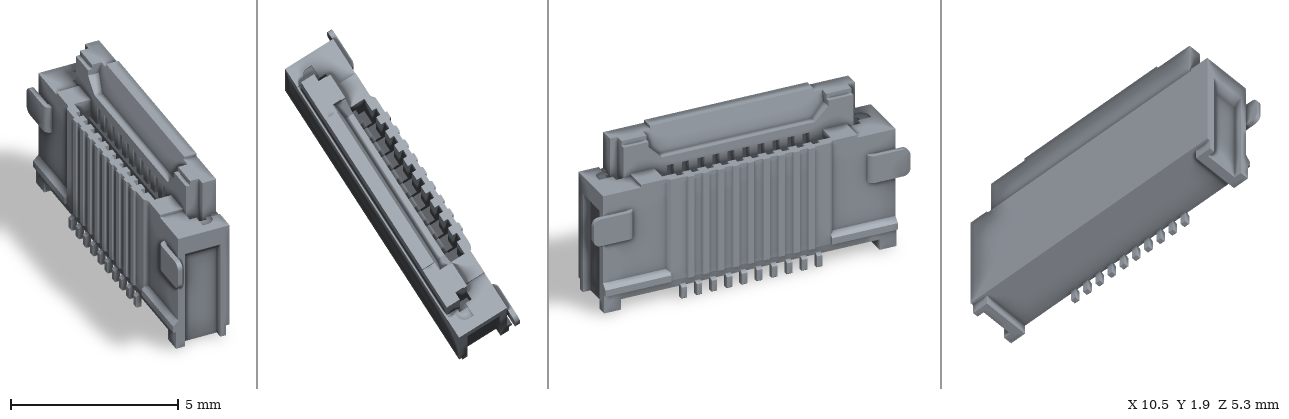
import cadquery as cq


LENGTH = 10.5
DEPTH = 1.9
HEIGHT = 5.3

CONTACT_COUNT = 10
CONTACT_SPAN = 4.49
PITCH = CONTACT_SPAN / (CONTACT_COUNT - 1)
LEAD_WIDTH = 0.18

BODY_HALF = 4.85
BODY_FRONT = 0.2
BODY_BOTTOM = 0.4
BODY_TOP = 4.01
RAISED_HALF = 3.59
RAISED_TOP = 4.11
BASE_FRONT = 0.13
BASE_TOP = 0.65

FOOT_BOTTOM = 0.04
FOOT_WIDTH = 0.57
FOOT_BACK = 1.78

LEDGE_FRONT = 0.03
LEDGE_TOP = 0.87
LEDGE_SLOPE = BODY_FRONT - LEDGE_FRONT
LEDGE_INNER_HALF = 2.67

PANEL_HALF = 2.65
PANEL_FRONT = 0.09
PANEL_FLANK = 0.13
RIB_FRONT = LEDGE_FRONT
RIB_CREST = 0.2
RIB_SLOPE = 0.03

POCKET_FRONT = 0.43
POCKET_BACK = 1.6
POCKET_TOP = 3.4
POCKET_DEPTH = 0.25

PLUG_HALF = 4.06
PLUG_NECK_HALF = 3.81
PLUG_FRONT = 0.96
PLUG_SHOULDER = 1.38
PLUG_BACK = 1.84
PLUG_TOP = 5.21
PLUG_STEP_BACK = 1.09
PLUG_STEP_BOTTOM = 5.05
LIP_HALF = 2.71

RECESS_HALF = 2.98
RECESS_BOTTOM = 4.42
RECESS_BACK_TOP = 1.43
RECESS_BACK_BOTTOM = 1.21
RECESS_CHAMFER = 0.44

GAP_HALF = 4.19
GAP_FRONT = 1.18
GAP_DEPTH = 0.07
CORNER_GAP_DEPTH = 0.84
CRESCENT_HALF = 4.52
CRESCENT_BACK = 1.6
CRESCENT_STRAIGHT = 0.16
RAMP_BACK = 1.47
RAMP_DEPTH = 0.21
SHOULDER_HALF = 4.13
SHOULDER_FRONT = 1.64
SHOULDER_DROP = 0.03

CAVITY_HALF = 2.79
CAVITY_FRONT = 0.4
CAVITY_FLOOR = 2.1
TIP_LEDGE_FRONT = 0.7
TIP_LEDGE_TOP = 3.15
BACK_LEDGE_FRONT = 0.87
BACK_LEDGE_TOP = 3.46
SLOT_WIDTH = 0.23
SLOT_FRONT = 0.25
SLOT_FLOOR = 1.68
PLUG_SLOT_DEPTH = 0.25
TIP_WIDTH = 0.17
TIP_BACK = 0.85
TIP_HEIGHT = 0.26

LEAD_BACK = 0.19
LEAD_SHOULDER = 0.39
LEAD_TOP = 0.46
LEAD_TIP_CHAMFER = 0.03

TAB_BOTTOM = 2.45
TAB_TOP = 3.36
TAB_THICKNESS = 0.16
TAB_INNER = 3.9
TAB_BEND = 0.2
TAB_CORNER = 0.22

contact_xs = [(i - (CONTACT_COUNT - 1) / 2) * PITCH for i in range(CONTACT_COUNT)]
rib_xs = [x + PITCH / 2 for x in contact_xs[:-1]]


def block(x0, x1, y0, y1, z0, z1):
    """Axis-aligned box between two corners."""
    return cq.Workplane("XY").box(x1 - x0, y1 - y0, z1 - z0, centered=False).translate((x0, y0, z0))


def extrude_x(points, x0, x1):
    """Prism along X from a (y, z) outline."""
    return cq.Workplane("YZ").polyline(points).close().extrude(x1 - x0).translate((x0, 0, 0))


def extrude_z(points, z0, z1):
    """Prism along Z from an (x, y) outline."""
    return cq.Workplane("XY").polyline(points).close().extrude(z1 - z0).translate((0, 0, z0))


def both_sides(solid):
    """The solid together with its mirror image across X = 0."""
    return solid.union(solid.mirror("YZ"))


def make_housing():
    body = block(-BODY_HALF, BODY_HALF, BODY_FRONT, DEPTH, BODY_BOTTOM, BODY_TOP)
    base = block(-BODY_HALF, BODY_HALF, BASE_FRONT, BODY_FRONT, BODY_BOTTOM, BASE_TOP)
    raised = block(-RAISED_HALF, RAISED_HALF, BODY_FRONT, PLUG_FRONT, BODY_TOP, RAISED_TOP)
    foot = block(BODY_HALF - FOOT_WIDTH, BODY_HALF, BASE_FRONT, FOOT_BACK, FOOT_BOTTOM, BODY_BOTTOM)
    ledge = extrude_x(
        [
            (BODY_FRONT, BASE_TOP),
            (LEDGE_FRONT, BASE_TOP),
            (LEDGE_FRONT, LEDGE_TOP),
            (BODY_FRONT, LEDGE_TOP + LEDGE_SLOPE),
        ],
        LEDGE_INNER_HALF,
        BODY_HALF,
    )
    return body.union(base).union(raised).union(both_sides(foot)).union(both_sides(ledge))


def make_ribbed_panel():
    panel = extrude_z(
        [
            (-PANEL_HALF - PANEL_FLANK, BODY_FRONT),
            (-PANEL_HALF, PANEL_FRONT),
            (PANEL_HALF, PANEL_FRONT),
            (PANEL_HALF + PANEL_FLANK, BODY_FRONT),
        ],
        BASE_TOP,
        RAISED_TOP,
    )
    crest_half = RIB_CREST / 2
    root_half = crest_half + RIB_SLOPE
    for x in rib_xs:
        rib = extrude_z(
            [
                (x - root_half, PANEL_FRONT),
                (x - crest_half, RIB_FRONT),
                (x + crest_half, RIB_FRONT),
                (x + root_half, PANEL_FRONT),
            ],
            BASE_TOP,
            RAISED_TOP,
        )
        panel = panel.union(rib)
    return panel


def make_side_pocket():
    """Pocket in the +X end, open at the bottom, with a 45 degree ceiling."""
    floor_x = BODY_HALF - POCKET_DEPTH
    outline = [
        (floor_x, 0),
        (BODY_HALF, 0),
        (BODY_HALF, POCKET_TOP),
        (floor_x, POCKET_TOP - POCKET_DEPTH),
    ]
    pocket = cq.Workplane("XZ").polyline(outline).close().extrude(POCKET_FRONT - POCKET_BACK)
    return pocket.translate((0, POCKET_FRONT, 0))


def make_plug_clearance():
    """Shallow gap behind and beside the plug, crescents, ramps and deep front corner gaps."""
    floor = BODY_TOP - GAP_DEPTH
    gap = block(-GAP_HALF, GAP_HALF, GAP_FRONT, DEPTH, floor, BODY_TOP)
    crescent = (
        cq.Workplane("XY")
        .workplane(offset=floor)
        .moveTo(GAP_HALF, GAP_FRONT)
        .lineTo(CRESCENT_HALF, GAP_FRONT)
        .lineTo(CRESCENT_HALF, GAP_FRONT + CRESCENT_STRAIGHT)
        .tangentArcPoint((GAP_HALF, CRESCENT_BACK), relative=False)
        .close()
        .extrude(GAP_DEPTH)
    )
    corner = block(
        PLUG_NECK_HALF, PLUG_HALF, PLUG_FRONT, PLUG_SHOULDER, BODY_TOP - CORNER_GAP_DEPTH, BODY_TOP
    )
    ramp = extrude_x(
        [
            (GAP_FRONT, floor),
            (RAMP_BACK, floor - RAMP_DEPTH),
            (RAMP_BACK, BODY_TOP),
            (GAP_FRONT, BODY_TOP),
        ],
        PLUG_HALF,
        GAP_HALF,
    )
    return gap.union(both_sides(crescent.union(corner).union(ramp)))


def make_plug():
    bottom = BODY_TOP - CORNER_GAP_DEPTH
    plug = block(-PLUG_HALF, PLUG_HALF, PLUG_SHOULDER, PLUG_BACK, bottom, PLUG_TOP)
    plug = plug.union(block(-PLUG_NECK_HALF, PLUG_NECK_HALF, PLUG_FRONT, PLUG_SHOULDER, bottom, PLUG_TOP))
    shoulder_top = BODY_TOP - SHOULDER_DROP
    plug = plug.union(
        block(-SHOULDER_HALF, SHOULDER_HALF, SHOULDER_FRONT, PLUG_BACK, bottom, shoulder_top)
    )
    plug = plug.union(block(-LIP_HALF, LIP_HALF, PLUG_SHOULDER, PLUG_BACK, PLUG_TOP, HEIGHT))
    plug = plug.cut(
        block(-PLUG_NECK_HALF, PLUG_NECK_HALF, PLUG_FRONT, PLUG_STEP_BACK, PLUG_STEP_BOTTOM, PLUG_TOP)
    )

    recess_profile = extrude_x(
        [
            (PLUG_FRONT, RECESS_BOTTOM),
            (RECESS_BACK_BOTTOM, RECESS_BOTTOM),
            (RECESS_BACK_TOP, HEIGHT),
            (PLUG_FRONT, HEIGHT),
        ],
        -RECESS_HALF,
        RECESS_HALF,
    )
    floor_half = RECESS_HALF - RECESS_CHAMFER
    recess_front = (
        cq.Workplane("XZ")
        .polyline(
            [
                (-floor_half, RECESS_BOTTOM),
                (floor_half, RECESS_BOTTOM),
                (RECESS_HALF, RECESS_BOTTOM + RECESS_CHAMFER),
                (RECESS_HALF, HEIGHT),
                (-RECESS_HALF, HEIGHT),
                (-RECESS_HALF, RECESS_BOTTOM + RECESS_CHAMFER),
            ]
        )
        .close()
        .extrude(-DEPTH)
    )
    return plug.cut(recess_profile.intersect(recess_front))


def make_cavity():
    """Stepped cavity in front of the plug, with a slot for every contact."""
    cavity = extrude_x(
        [
            (CAVITY_FRONT, CAVITY_FLOOR),
            (TIP_LEDGE_FRONT, CAVITY_FLOOR),
            (TIP_LEDGE_FRONT, TIP_LEDGE_TOP),
            (BACK_LEDGE_FRONT, TIP_LEDGE_TOP),
            (BACK_LEDGE_FRONT, BACK_LEDGE_TOP),
            (PLUG_FRONT, BACK_LEDGE_TOP),
            (PLUG_FRONT, RAISED_TOP),
            (CAVITY_FRONT, RAISED_TOP),
        ],
        -CAVITY_HALF,
        CAVITY_HALF,
    )
    half = SLOT_WIDTH / 2
    plug_slot_back = PLUG_FRONT + PLUG_SLOT_DEPTH
    for x in contact_xs:
        front_slot = block(x - half, x + half, SLOT_FRONT, TIP_LEDGE_FRONT, SLOT_FLOOR, RAISED_TOP)
        plug_slot = block(x - half, x + half, PLUG_FRONT, plug_slot_back, BACK_LEDGE_TOP, RAISED_TOP)
        cavity = cavity.union(front_slot).union(plug_slot)
    return cavity


def make_contact(x):
    """Wedge-shaped contact tip inside the cavity and the solder lead below the housing."""
    tip = extrude_x(
        [
            (TIP_LEDGE_FRONT, TIP_LEDGE_TOP),
            (TIP_BACK, TIP_LEDGE_TOP),
            (TIP_LEDGE_FRONT, TIP_LEDGE_TOP + TIP_HEIGHT),
        ],
        x - TIP_WIDTH / 2,
        x + TIP_WIDTH / 2,
    )
    lead = extrude_x(
        [
            (LEAD_TIP_CHAMFER, 0),
            (LEAD_BACK, 0),
            (LEAD_BACK, LEAD_TOP),
            (BASE_FRONT, LEAD_TOP),
            (0, LEAD_SHOULDER),
            (0, LEAD_TIP_CHAMFER),
        ],
        x - LEAD_WIDTH / 2,
        x + LEAD_WIDTH / 2,
    )
    return tip, lead


def make_tab():
    """Solder tab on the +X side, bent into the housing at its inner end."""
    bend_end = TAB_INNER + TAB_BEND
    tab = (
        cq.Workplane("XY")
        .workplane(offset=TAB_BOTTOM)
        .moveTo(LENGTH / 2, 0)
        .lineTo(bend_end, 0)
        .tangentArcPoint((TAB_INNER, BODY_FRONT), relative=False)
        .lineTo(TAB_INNER, BODY_FRONT + TAB_THICKNESS)
        .lineTo(bend_end, BODY_FRONT + TAB_THICKNESS)
        .lineTo(bend_end, TAB_THICKNESS)
        .lineTo(LENGTH / 2, TAB_THICKNESS)
        .close()
        .extrude(TAB_TOP - TAB_BOTTOM)
    )
    return tab.edges("|Y").edges(">X").fillet(TAB_CORNER)


result = make_housing().union(make_ribbed_panel())
result = result.cut(both_sides(make_side_pocket()))
result = result.cut(make_plug_clearance())
result = result.union(make_plug())
result = result.cut(make_cavity())

for contact_x in contact_xs:
    contact_tip, contact_lead = make_contact(contact_x)
    result = result.union(contact_tip).union(contact_lead)

result = result.union(both_sides(make_tab()))